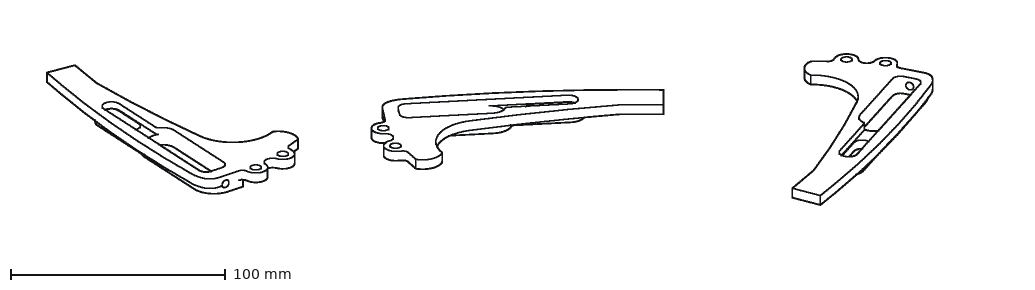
import cadquery as cq
import math

plate_thickness = 5.0
arm_pad_bottom = -8.1
frame_pad_bottom = -9.0
pocket_depth = 3.5
cut_clearance = 1.4

upper_ear = (130.3, 47.3)
lower_ear = (134.0, 29.2)
ear_radius = 5.6
ear_hole_diameter = 5.2
notch_radius = 3.9

right_edge = 132.1
ear_fillet_radius = 2.8

throat_center = (89.7, 47.9)
throat_radius = 21.6
throat_start_angle = -80
throat_middle_angle = -35
throat_end_angle = 24

window_left = 74.8
window_right = 124.9
window_bottom = 6.1
window_top = 20.1
window_end_radius = (window_top - window_bottom) / 2
window_corner_radius = 4.0

pocket_left = 40.6
pocket_width = 8.8
pocket_mouth_radius = 1.1
slot_left = 41.0
slot_right = 65.2
slot_width = 8.0
pocket_center_y = window_bottom + pocket_width / 2

pad_margin = 3.0
arm_pad_left = 37.3
arm_pad_width = 15.2
frame_pad_left = window_left - pad_margin
frame_pad_bottom_y = 3.3
frame_pad_top_y = window_top + pad_margin
frame_pad_end_radius = (frame_pad_top_y - frame_pad_bottom_y) / 2
frame_pad_corner_radius = 11.2

cross_hole_diameter = 3.9
cross_hole_y = (window_bottom + window_top) / 2
cross_hole_z = -4.5


def polar(center, radius, degrees):
    """Point on a circle at the given angle."""
    angle = math.radians(degrees)
    return (center[0] + radius * math.cos(angle), center[1] + radius * math.sin(angle))


def toward(start, end, distance):
    """Point at a distance from start on the line to end."""
    share = distance / math.dist(start, end)
    return (start[0] + share * (end[0] - start[0]), start[1] + share * (end[1] - start[1]))


def notch_center():
    """Center of the notch circle that touches both ears on its outside."""
    half_gap = math.dist(lower_ear, upper_ear) / 2
    middle = toward(lower_ear, upper_ear, half_gap)
    offset = math.sqrt((ear_radius + notch_radius) ** 2 - half_gap**2)
    run = (upper_ear[0] - lower_ear[0]) / (2 * half_gap)
    rise = (upper_ear[1] - lower_ear[1]) / (2 * half_gap)
    return (middle[0] + offset * rise, middle[1] - offset * run)


def horizontal_slot(left, right, center_y, width, bottom, top):
    """Round-ended bar along X between two heights."""
    return (
        cq.Workplane("XY", origin=((left + right) / 2, center_y, bottom))
        .slot2D(right - left, width)
        .extrude(top - bottom)
    )


def make_plate():
    notch = notch_center()
    fillet_x = right_edge + ear_fillet_radius
    fillet_reach = ear_radius + ear_fillet_radius
    fillet_y = lower_ear[1] - math.sqrt(fillet_reach**2 - (fillet_x - lower_ear[0]) ** 2)
    fillet_center = (fillet_x, fillet_y)
    return (
        cq.Workplane("XY", origin=(0, 0, -plate_thickness))
        .moveTo(0, 5.9)
        .lineTo(1.7, 20.8)
        .lineTo(22.0, 18.5)
        .threePointArc((57.2, 21.5), polar(throat_center, throat_radius, throat_start_angle))
        .threePointArc(
            polar(throat_center, throat_radius, throat_middle_angle),
            polar(throat_center, throat_radius, throat_end_angle),
        )
        .threePointArc((114.4, 62.0), (122.5, 61.8))
        .lineTo(125.1, 55.0)
        .threePointArc((126.0, 53.6), (127.5, upper_ear[1] + ear_radius))
        .lineTo(upper_ear[0], upper_ear[1] + ear_radius)
        .threePointArc(polar(upper_ear, ear_radius, 0), toward(upper_ear, notch, ear_radius))
        .threePointArc((notch[0] - notch_radius, notch[1]), toward(lower_ear, notch, ear_radius))
        .threePointArc(
            (lower_ear[0] + ear_radius, lower_ear[1]),
            toward(lower_ear, fillet_center, ear_radius),
        )
        .threePointArc(polar(fillet_center, ear_fillet_radius, 135), (right_edge, fillet_y))
        .lineTo(right_edge, 9.0)
        .threePointArc((131.3, 5.9), (128.9, 3.3))
        .threePointArc((125.8, 2.0), (122.5, 1.3))
        .threePointArc((85.1, 0), (14.8, 4.0))
        .close()
        .extrude(plate_thickness)
    )


def make_arm_pad():
    end_radius = arm_pad_width / 2
    straight_start = arm_pad_left + end_radius
    straight_end = frame_pad_left + frame_pad_end_radius
    bottom_y = pocket_center_y - end_radius
    top_y = pocket_center_y + end_radius
    return (
        cq.Workplane("XY", origin=(0, 0, arm_pad_bottom))
        .moveTo(straight_start, top_y)
        .threePointArc((arm_pad_left, pocket_center_y), (straight_start, bottom_y))
        .lineTo(straight_end, bottom_y)
        .lineTo(straight_end, top_y)
        .close()
        .extrude(-plate_thickness - arm_pad_bottom)
    )


def make_frame_pad():
    end_radius = frame_pad_end_radius
    center_y = frame_pad_bottom_y + end_radius
    corner = frame_pad_corner_radius
    pad_height = -plate_thickness - frame_pad_bottom
    return (
        cq.Workplane("XY", origin=(0, 0, frame_pad_bottom))
        .moveTo(frame_pad_left + end_radius, frame_pad_top_y)
        .threePointArc((frame_pad_left, center_y), (frame_pad_left + end_radius, frame_pad_bottom_y))
        .lineTo(right_edge - corner, frame_pad_bottom_y)
        .radiusArc((right_edge, frame_pad_bottom_y + corner), -corner)
        .lineTo(right_edge, frame_pad_top_y)
        .close()
        .extrude(pad_height)
    )


def make_window():
    arc_x = window_left + window_end_radius
    center_y = window_bottom + window_end_radius
    depth = cut_clearance - frame_pad_bottom
    return (
        cq.Workplane("XY", origin=(0, 0, frame_pad_bottom))
        .moveTo(arc_x, window_bottom)
        .threePointArc((window_left, center_y), (arc_x, window_top))
        .lineTo(window_right, window_top)
        .lineTo(window_right, window_bottom)
        .close()
        .extrude(depth)
        .edges("|Z and >X")
        .fillet(window_corner_radius)
    )


def make_pocket():
    right_end = window_left + window_end_radius + pocket_width / 2
    return horizontal_slot(
        pocket_left, right_end, pocket_center_y, pocket_width, -pocket_depth, cut_clearance
    )


def make_slot():
    return horizontal_slot(
        slot_left, slot_right, pocket_center_y, slot_width, frame_pad_bottom, cut_clearance
    )


def make_ear_holes():
    return (
        cq.Workplane("XY", origin=(0, 0, frame_pad_bottom))
        .pushPoints([upper_ear, lower_ear])
        .circle(ear_hole_diameter / 2)
        .extrude(cut_clearance - frame_pad_bottom)
    )


def make_cross_hole():
    start_x = window_right - cut_clearance
    length = right_edge + cut_clearance - start_x
    return (
        cq.Workplane("YZ", origin=(start_x, cross_hole_y, cross_hole_z))
        .circle(cross_hole_diameter / 2)
        .extrude(length)
    )


def round_pocket_mouth(body):
    """Round the upright corner where the pocket's upper wall meets the window."""
    wall_y = pocket_center_y + pocket_width / 2
    rise = wall_y - (window_bottom + window_end_radius)
    mouth_x = window_left + window_end_radius - math.sqrt(window_end_radius**2 - rise**2)
    corner = cq.selectors.NearestToPointSelector((mouth_x, wall_y, -pocket_depth / 2))
    return body.edges("|Z").edges(corner).fillet(pocket_mouth_radius)


result = make_plate().union(make_arm_pad()).union(make_frame_pad())
for cutter in (make_window(), make_pocket(), make_slot(), make_ear_holes(), make_cross_hole()):
    result = result.cut(cutter)
result = round_pocket_mouth(result)